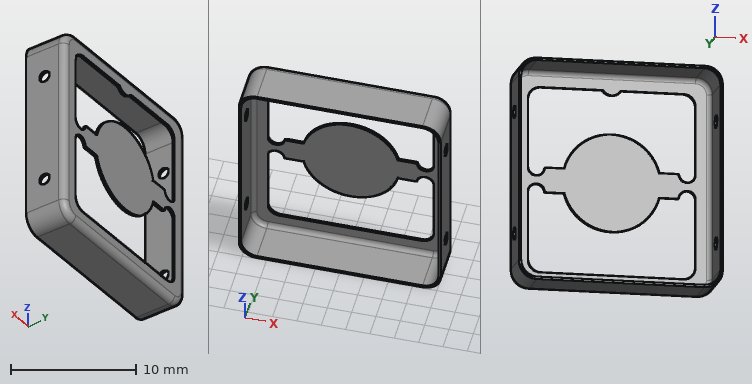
import cadquery as cq
import math

width = 16.6
depth = 3.8
height = 18.2
wall = 0.2
corner_radius = 1.5
floor_edge_radius = 0.6

rim = 1.5
window_half_width = width / 2 - rim
window_half_height = height / 2 - rim
window_corner_radius = 1.0

disk_radius = 4.0
arm_half_height = 1.02
neck_half_height = 0.35
notch_radius = 0.67
arm_corner_radius = 0.15

tab_radius = 0.9
tab_drop = 0.4
tab_blend_radius = 0.15

hole_diameter = 0.96
hole_half_spacing = 5.0
hole_from_open_side = 1.8

front_y = -depth / 2
back_y = depth / 2
floor_y = back_y - wall


def rounded_block(inset, back):
    """Rounded block from the open side to `back`, with its back edges rounded."""
    block = (
        cq.Workplane("XZ", origin=(0, front_y, 0))
        .rect(width - 2 * inset, height - 2 * inset)
        .extrude(front_y - back)
    )
    block = block.edges("|Y").fillet(corner_radius - inset)
    return block.faces(">Y").edges().fillet(floor_edge_radius - inset)


def floor_prism(sketch):
    """Extrude a closed outline through the floor thickness."""
    return sketch.extrude(-wall)


def floor_plane():
    return cq.Workplane("XZ", origin=(0, floor_y, 0))


def window():
    outline = floor_plane().rect(2 * window_half_width, 2 * window_half_height)
    return floor_prism(outline).edges("|Y").fillet(window_corner_radius)


def arm(side):
    """Arm from the disk to the rim, narrowed to a neck by two round notches."""
    notch_x = window_half_width - notch_radius
    notch_z = neck_half_height + notch_radius
    corner_z = arm_half_height - arm_corner_radius
    reach = notch_radius + arm_corner_radius
    corner_x = notch_x - math.sqrt(reach**2 - (notch_z - corner_z) ** 2)
    share = notch_radius / reach
    join_x = notch_x + share * (corner_x - notch_x)
    join_z = notch_z + share * (corner_z - notch_z)
    bend_angle = (math.pi / 2 + math.atan2(notch_z - corner_z, notch_x - corner_x)) / 2
    bend_x = corner_x + arm_corner_radius * math.cos(bend_angle)
    bend_z = corner_z + arm_corner_radius * math.sin(bend_angle)
    rim_x = window_half_width + wall

    outline = (
        floor_plane()
        .moveTo(0, -arm_half_height)
        .lineTo(side * corner_x, -arm_half_height)
        .threePointArc((side * bend_x, -bend_z), (side * join_x, -join_z))
        .threePointArc((side * notch_x, -neck_half_height), (side * window_half_width, -notch_z))
        .lineTo(side * rim_x, -notch_z)
        .lineTo(side * rim_x, notch_z)
        .lineTo(side * window_half_width, notch_z)
        .threePointArc((side * notch_x, neck_half_height), (side * join_x, join_z))
        .threePointArc((side * bend_x, bend_z), (side * corner_x, arm_half_height))
        .lineTo(0, arm_half_height)
        .close()
    )
    return floor_prism(outline)


def tab():
    """Round tab blended by small concave arcs into the window's top edge."""
    center_z = window_half_height - tab_drop + tab_radius
    blend_z = window_half_height - tab_blend_radius
    reach = tab_radius + tab_blend_radius
    blend_x = math.sqrt(reach**2 - (center_z - blend_z) ** 2)
    share = tab_radius / reach
    join_x = share * blend_x
    join_z = center_z + share * (blend_z - center_z)
    bend_angle = (math.pi / 2 + math.atan2(center_z - blend_z, -blend_x)) / 2
    bend_x = blend_x + tab_blend_radius * math.cos(bend_angle)
    bend_z = blend_z + tab_blend_radius * math.sin(bend_angle)
    root_z = window_half_height + wall

    outline = (
        floor_plane()
        .moveTo(-blend_x, root_z)
        .lineTo(-blend_x, window_half_height)
        .threePointArc((-bend_x, bend_z), (-join_x, join_z))
        .threePointArc((0, window_half_height - tab_drop), (join_x, join_z))
        .threePointArc((bend_x, bend_z), (blend_x, window_half_height))
        .lineTo(blend_x, root_z)
        .close()
    )
    return floor_prism(outline)


def cross_holes():
    return (
        cq.Workplane("YZ", origin=(-width / 2, front_y + hole_from_open_side, 0))
        .pushPoints([(0, -hole_half_spacing), (0, hole_half_spacing)])
        .circle(hole_diameter / 2)
        .extrude(width)
    )


tray = rounded_block(0, back_y).cut(rounded_block(wall, floor_y))
result = tray.cut(window()).cut(cross_holes())
result = result.union(floor_prism(floor_plane().circle(disk_radius)))
for side in (-1, 1):
    result = result.union(arm(side))
result = result.union(tab())